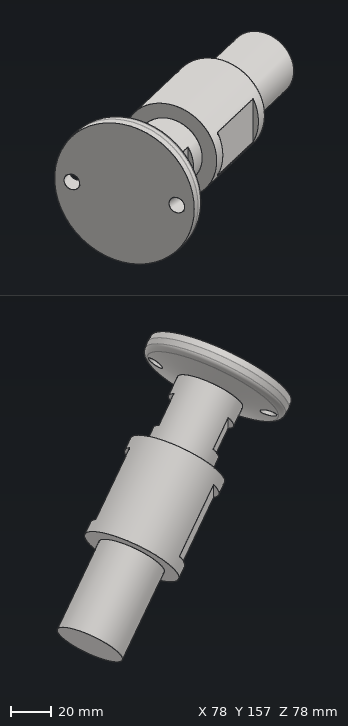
import cadquery as cq
import math

total_length = 157.0

foot_diameter = 78.0
rim_height = 3.8
rim_draft = 5.0
shoulder_height = 7.0
cone_angle = 10.0
shoulder_radius = 3.3

hole_diameter = 8.5
hole_offset = 29.0

spindle_diameter = 36.0
spindle_flat_width = 29.8
spindle_flat_start = 24.0
spindle_flat_end = 41.9

sleeve_diameter = 52.0
sleeve_start = 52.0
sleeve_length = 55.0
sleeve_flat_width = 46.0
sleeve_collar = 7.0


def cut_wrench_flats(body, diameter, width, start, end):
    """Mill two opposite flats, facing -X and +X, between two heights on Y."""
    depth = (diameter - width) / 2
    for side in (-1, 1):
        cutter = cq.Workplane("XY").box(depth, end - start, diameter)
        body = body.cut(cutter.translate((side * (width + depth) / 2, (start + end) / 2, 0)))
    return body


def make_foot_profile():
    """Half section of foot and spindle, with X as the radius."""
    draft = math.radians(rim_draft)
    slope = math.radians(cone_angle)
    rim_radius = foot_diameter / 2
    spindle_radius = spindle_diameter / 2
    underside_radius = rim_radius - rim_height * math.tan(draft)
    shoulder_start = rim_radius - (shoulder_height - rim_height) * math.tan(draft)

    center_x = shoulder_start - shoulder_radius * math.cos(draft)
    center_y = shoulder_height - shoulder_radius * math.sin(draft)

    def shoulder_point(angle):
        return (
            center_x + shoulder_radius * math.cos(angle),
            center_y + shoulder_radius * math.sin(angle),
        )

    cone_normal = math.pi / 2 - slope
    cone_start = shoulder_point(cone_normal)
    cone_top = cone_start[1] + (cone_start[0] - spindle_radius) * math.tan(slope)

    return (
        cq.Workplane("XY")
        .moveTo(0, 0)
        .lineTo(underside_radius, 0)
        .lineTo(rim_radius, rim_height)
        .lineTo(shoulder_start, shoulder_height)
        .threePointArc(shoulder_point((draft + cone_normal) / 2), cone_start)
        .lineTo(spindle_radius, cone_top)
        .lineTo(spindle_radius, total_length)
        .lineTo(0, total_length)
        .close()
    )


def make_screw_hole(side):
    """Cutter leaning outward, so that it leaves square to the conical face."""
    slope = math.radians(cone_angle)
    direction = cq.Vector(side * math.sin(slope), math.cos(slope), 0)
    reach = foot_diameter / 4
    center = cq.Vector(side * hole_offset, 0, 0)
    return cq.Solid.makeCylinder(hole_diameter / 2, 2 * reach, center - direction * reach, direction)


def make_spindle_foot():
    foot = make_foot_profile().revolve(360, (0, 0, 0), (0, 1, 0))
    for side in (-1, 1):
        foot = foot.cut(cq.Workplane(make_screw_hole(side)))
    return cut_wrench_flats(
        foot, spindle_diameter, spindle_flat_width, spindle_flat_start, spindle_flat_end
    )


def make_sleeve():
    """Sleeve bored to fit the spindle."""
    sleeve_end = sleeve_start + sleeve_length
    sleeve = (
        cq.Workplane("XZ", origin=(0, sleeve_start, 0))
        .circle(sleeve_diameter / 2)
        .circle(spindle_diameter / 2)
        .extrude(-sleeve_length)
    )
    return cut_wrench_flats(
        sleeve,
        sleeve_diameter,
        sleeve_flat_width,
        sleeve_start + sleeve_collar,
        sleeve_end - sleeve_collar,
    )


spindle_foot = make_spindle_foot()
sleeve = make_sleeve()

result = cq.Compound.makeCompound([spindle_foot.val(), sleeve.val()])